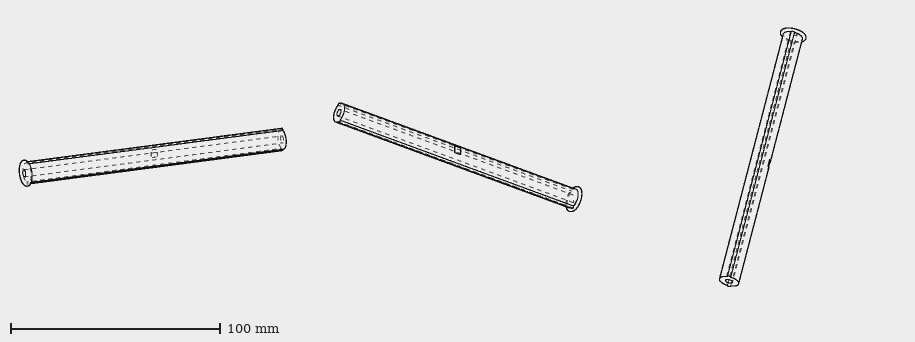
import cadquery as cq

length = 135.9
flange_diameter = 12.6
flange_thickness = 1.5
shaft_diameter = 9.5
bore_diameter = 3.4

rib_radius = 0.8
rib_height = 0.8

notch_length = 3.3
notch_depth = 0.4
notch_center = 70.7

shaft_radius = shaft_diameter / 2
rim_radius = flange_thickness / 2


def rod(diameter, rod_length, z=0.0):
    """Solid rod from the flange face at Y = 0 towards +Y."""
    section = cq.Workplane("XZ").center(0, z).circle(diameter / 2)
    return section.extrude(-rod_length)


def flange():
    """Disc with a full-round rim, revolved about the pin axis."""
    flat_radius = flange_diameter / 2 - rim_radius
    profile = (
        cq.Workplane("XY")
        .lineTo(flat_radius, 0)
        .threePointArc((flange_diameter / 2, rim_radius), (flat_radius, flange_thickness))
        .lineTo(0, flange_thickness)
        .close()
    )
    return profile.revolve(360, (0, 0), (0, 1))


def rib(side):
    """Full-round rib starting behind the flange; side is +1 for top, -1 for bottom."""
    rib_center = shaft_radius + rib_height - rib_radius
    rib_length = length - flange_thickness
    return rod(2 * rib_radius, rib_length, side * rib_center).translate((0, flange_thickness, 0))


def notch():
    return cq.Workplane("XY").box(2 * notch_depth, notch_length, shaft_diameter).translate(
        (-shaft_radius, notch_center, 0)
    )


pin = rod(shaft_diameter, length).union(flange())
for side in (1, -1):
    pin = pin.union(rib(side))

result = pin.cut(notch()).cut(rod(bore_diameter, length))